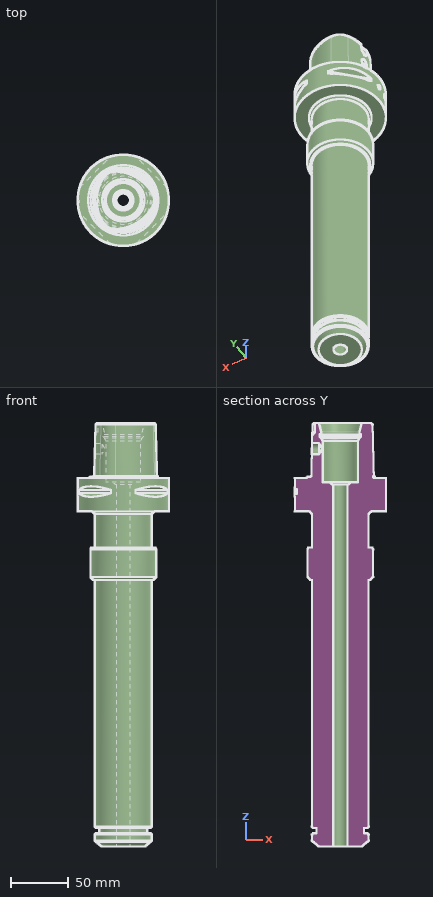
import cadquery as cq
import math

total_height = 370.0

body_radius = 50.0 / 2
body_bottom = 16.3
edge_chamfer = 1.0
collar_radius = 29.0
collar_bottom = 232.7
collar_top = 261.2
collar_lower_width = 2.5
collar_upper_rise = 2.0
collar_upper_width = 0.7

groove_radius = 21.0
disc_top = 12.0
disc_bottom = 4.0
foot_top_radius = 23.5
foot_bottom_radius = 19.0

flange_radius = 40.0
flange_bottom = 292.5
flange_top = 322.0
neck_relief_radius = 27.5
neck_relief_depth = 2.2
seat_radius = 30.7
seat_top_radius = 28.5
seat_height = 1.0

lobe_count = 3
shank_base_radius = 55.0 / 2
shank_tip_radius = 53.0 / 2
lobe_height = 2.0
lobe_half_angle = 28.0
shank_edge_chamfer = 1.5
shank_root_flare = 0.7

mouth_radius = 18.5
mouth_depth = 8.0
lip_radius = 33.0 / 2
lip_depth = 10.0
grip_groove_radius = 17.8
grip_groove_depth = 12.0
lead_in_depth = 16.0
inner_bore_radius = 15.0
inner_bore_depth = 51.8
coolant_mouth_radius = 9.0
coolant_step_radius = 7.0
coolant_radius = 6.0

dimple_radius = 9.2 / 2
dimple_point_angle = 118.0
dimple_z = 347.5
dimple_depth = 6.3
notch_radius = 5.5
notch_point_angle = 90.0
notch_bite = 2.2
notch_depth = 8.0

slot_angles = (45, 135, 225, 315)
slot_z = 310.0
slot_floor_distance = 34.8
slot_floor_height = 2.5
slot_mouth_height = 9.2
flange_hole_radius = 2.05
flange_hole_depth = 2.0


def turned_body():
    """Everything below the shank, as one half profile turned about Z."""
    outline = [
        (0, 0),
        (foot_bottom_radius, 0),
        (foot_top_radius, disc_bottom),
        (body_radius - edge_chamfer, disc_bottom),
        (body_radius, disc_bottom + edge_chamfer),
        (body_radius, disc_top - edge_chamfer),
        (body_radius - edge_chamfer, disc_top),
        (groove_radius, disc_top),
        (groove_radius, body_bottom),
        (body_radius - edge_chamfer, body_bottom),
        (body_radius, body_bottom + edge_chamfer),
        (body_radius, collar_bottom),
        (collar_radius - collar_lower_width, collar_bottom),
        (collar_radius, collar_bottom + collar_lower_width),
        (collar_radius, collar_top - collar_upper_rise),
        (collar_radius - collar_upper_width, collar_top),
        (body_radius, collar_top),
        (body_radius, flange_bottom - neck_relief_depth),
        (neck_relief_radius, flange_bottom),
        (flange_radius, flange_bottom),
        (flange_radius, flange_top),
        (seat_radius, flange_top),
        (seat_top_radius, flange_top + seat_height),
        (0, flange_top + seat_height),
    ]
    return cq.Workplane("XZ").polyline(outline).close().revolve(360, (0, 0, 0), (0, 1, 0))


def shank_point(mean_radius, angle):
    """Point of the lobed curve whose tangent distance is mean_radius + lobe_height * cos(3 * angle)."""
    reach = mean_radius + lobe_height * math.cos(lobe_count * angle)
    slide = -lobe_count * lobe_height * math.sin(lobe_count * angle)
    x = reach * math.cos(angle) - slide * math.sin(angle)
    y = reach * math.sin(angle) + slide * math.cos(angle)
    return x, y


def shank_wire(mean_radius, z):
    """Closed lobed outline, split where each lobe meets a flank."""
    points_per_stretch = 9
    pitch = 360 / lobe_count
    edges = []
    for lobe in range(lobe_count):
        middle = lobe * pitch
        breaks = [middle - lobe_half_angle, middle + lobe_half_angle, middle + pitch - lobe_half_angle]
        for start, end in zip(breaks, breaks[1:]):
            step = (end - start) / (points_per_stretch - 1)
            angles = [math.radians(start + step * i) for i in range(points_per_stretch)]
            points = [cq.Vector(*shank_point(mean_radius, angle), z) for angle in angles]
            edges.append(cq.Edge.makeSpline(points))
    return cq.Wire.assembleEdges(edges)


def polygon_shank():
    """Tapered shank with a flared root and a bevelled tip."""
    seat_top = flange_top + seat_height
    sections = [
        shank_wire(shank_base_radius + shank_root_flare, seat_top),
        shank_wire(shank_base_radius, seat_top + shank_root_flare),
        shank_wire(shank_tip_radius, total_height - shank_edge_chamfer),
        shank_wire(shank_tip_radius - shank_edge_chamfer, total_height),
    ]
    return cq.Workplane(obj=cq.Solid.makeLoft(sections, True))


def bore():
    groove_floor = total_height - grip_groove_depth
    floor = total_height - inner_bore_depth
    step = floor - (coolant_mouth_radius - coolant_step_radius)
    outline = [
        (0, 0),
        (coolant_radius, 0),
        (coolant_radius, step),
        (coolant_step_radius, step),
        (coolant_mouth_radius, floor),
        (inner_bore_radius, floor),
        (inner_bore_radius, total_height - lead_in_depth),
        (lip_radius, groove_floor - (grip_groove_radius - lip_radius)),
        (grip_groove_radius, groove_floor),
        (grip_groove_radius, total_height - lip_depth),
        (lip_radius, total_height - lip_depth),
        (lip_radius, total_height - mouth_depth),
        (mouth_radius, total_height),
        (0, total_height),
    ]
    return cq.Workplane("XZ").polyline(outline).close().revolve(360, (0, 0, 0), (0, 1, 0))


def drilling(start, direction, radius, depth, point_angle):
    """Drilled hole with straight sides down to the given depth and a conical end beyond it."""
    point_length = radius / math.tan(math.radians(point_angle / 2))
    barrel = cq.Solid.makeCylinder(radius, depth, start, direction)
    point = cq.Solid.makeCone(radius, 0, point_length, start + direction * depth, direction)
    return cq.Workplane(obj=barrel).union(cq.Workplane(obj=point))


def flank_dimple():
    height_share = (dimple_z - flange_top) / (total_height - flange_top)
    mean_radius = shank_base_radius + height_share * (shank_tip_radius - shank_base_radius)
    flank_x, _ = shank_point(mean_radius, math.pi)
    start = cq.Vector(flank_x, 0, dimple_z)
    return drilling(start, cq.Vector(1, 0, 0), dimple_radius, dimple_depth, dimple_point_angle)


def index_notch():
    flank_x, _ = shank_point(shank_tip_radius, math.pi)
    start = cq.Vector(flank_x + notch_bite - notch_radius, 0, total_height)
    return drilling(start, cq.Vector(0, 0, -1), notch_radius, notch_depth, notch_point_angle)


def gripper_slot(angle):
    """Straight trapezoidal slot, flaring outwards, across the flange rim."""
    section = [
        (slot_floor_distance, -slot_floor_height / 2),
        (flange_radius, -slot_mouth_height / 2),
        (flange_radius, slot_mouth_height / 2),
        (slot_floor_distance, slot_floor_height / 2),
    ]
    slot = cq.Workplane("XZ").polyline(section).close().extrude(flange_radius, both=True)
    return slot.translate((0, 0, slot_z)).rotate((0, 0, 0), (0, 0, 1), angle)


def flange_hole():
    base = cq.Vector(-flange_radius, 0, slot_z)
    hole = cq.Solid.makeCylinder(flange_hole_radius, flange_hole_depth, base, cq.Vector(1, 0, 0))
    return cq.Workplane(obj=hole)


result = turned_body().union(polygon_shank()).cut(bore())
result = result.cut(flank_dimple()).cut(index_notch()).cut(flange_hole())
for slot_angle in slot_angles:
    result = result.cut(gripper_slot(slot_angle))